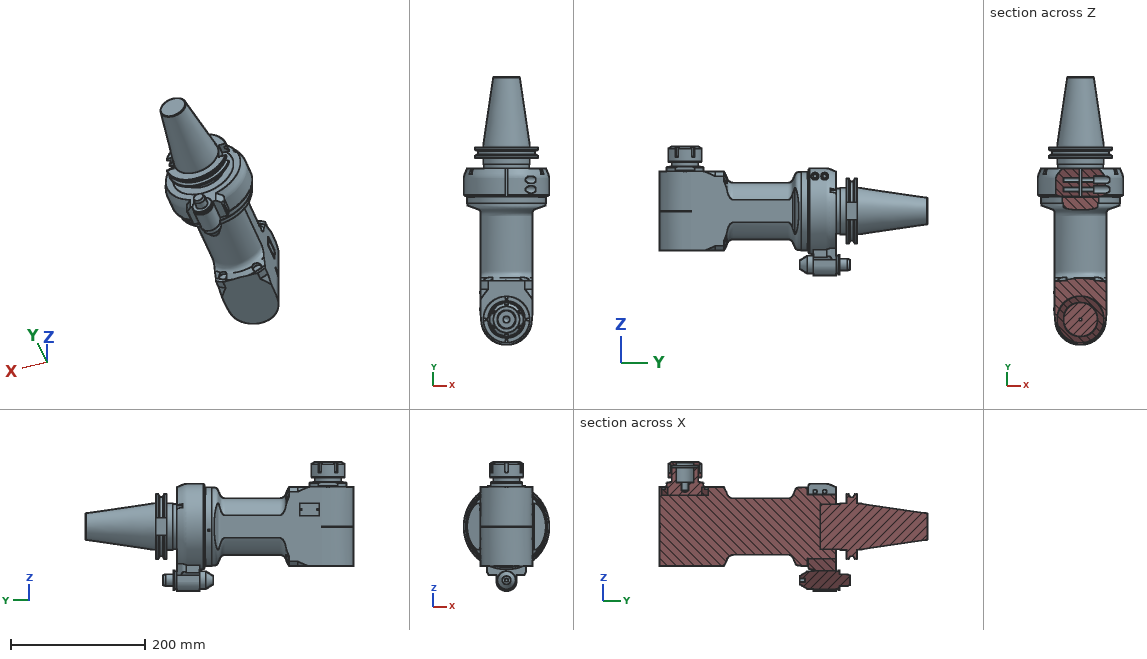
import cadquery as cq
import math


TOTAL_LENGTH = 399.46
HEAD_RADIUS = 38.0
HEAD_HALF_WIDTH = 39.0
HEAD_HALF_HEIGHT = 59.0

TAPER_LARGE_RADIUS = 69.85 / 2
TAPER_LENGTH = 101.75
TAPER_SLOPE = 7 / 24 / 2
TAPER_END_CHAMFER = 1.0
GAUGE_GAP = 3.2
FLANGE_RADIUS = 97.5 / 2
FLANGE_WIDTH = 15.9
FLANGE_CHAMFER = 0.7
GRIP_FLOOR_RADIUS = 44.5
GRIP_FLOOR_WIDTH = 4.0
GRIP_SLOPE = math.tan(math.radians(30))
KEYWAY_WIDTH = 25.7
KEYWAY_FLOOR = 35.5
NECK_RADIUS = 35.0
NECK_LENGTH = 9.5
STUB_RADIUS = 34.0
STUB_ENGAGEMENT = 24.0

SHANK_REAR = TOTAL_LENGTH - HEAD_RADIUS
GAUGE = SHANK_REAR - TAPER_LENGTH
FLANGE_REAR = GAUGE - GAUGE_GAP
FLANGE_FRONT = FLANGE_REAR - FLANGE_WIDTH
NECK_FRONT = FLANGE_FRONT - NECK_LENGTH

RING_RADIUS = 64.0
RING_LENGTH = 41.6
RING_GAP = 6.0
RING_REAR = NECK_FRONT - RING_GAP
RING_FRONT = RING_REAR - RING_LENGTH
RING_BORE_RADIUS = 48.0
RING_REAR_RADIUS = 59.0
RING_CONE_LENGTH = 8.4
RING_CONE_RADIUS = 62.5
RING_ROUND_LENGTH = 6.0
RING_CHAMFER = 3.0
RING_CHAMFER_LENGTH = 2.2
SLIT_WIDTH = 3.2
SCREW_OFFSETS = (16.9, 31.3)
SCREW_HEIGHT = 52.0
SCREW_HEAD_DIAMETER = 11.0
SCREW_HEAD_SEAT = 20.0
SCREW_DIAMETER = 6.0
SCREW_END = -25.0
NOTCH_WIDTH = 6.0
NOTCH_FLOOR_RADIUS = 57.0
NOTCH_ANGLES = (30, 150)

PIN_HEIGHT = -79.9
BRACKET_LENGTH = 33.8
BRACKET_HALF_WIDTH = 28.5
BRACKET_CREST_HALF_WIDTH = 27.6
BRACKET_REAR_HALF_WIDTH = 20.0
BRACKET_SLOPE_LENGTH = 7.0
BRACKET_ROUND_LENGTH = 7.0
BRACKET_TOP = -52.0
BRACKET_BOTTOM = -72.4
BRACKET_CORNER_WIDTH = 1.8
BRACKET_CORNER_HEIGHT = 3.5
EYE_RADIUS = 15.2
EYE_HALF_WIDTH = 15.1
EYE_HEIGHT = PIN_HEIGHT - 1.15

PIN_RADIUS = 13.5
PIN_REAR_RADIUS = 9.0
PIN_COLLAR_RADIUS = 15.0
PIN_COLLAR_WIDTH = 2.4
PIN_COLLAR_GAP = 3.0
PIN_REAR_LENGTH = 15.7
PIN_REAR_CHAMFER = 1.5
PIN_REAR_CHAMFER_LENGTH = 4.2
PIN_FRONT_LENGTH = 9.1
PIN_CONE_LENGTH = 7.8
PIN_CONE_END_RADIUS = 8.5
PIN_TIP_LENGTH = 3.6
PIN_TIP_RADIUS = 6.3
PIN_HOLE_DIAMETER = 5.3
PIN_HOLE_DEPTH = 8.0

COLLAR_RADIUS = 59.0
COLLAR_SMALL_RADIUS = 58.4
COLLAR_GAP = 0.9
COLLAR_REAR = RING_FRONT - COLLAR_GAP
COLLAR_STEP = RING_FRONT - 10.1
COLLAR_FRONT = RING_FRONT - 13.9
BODY_RADIUS = 42.5
BODY_REAR = 154.4
BODY_FRONT = 71.9
SHOULDER = (55.0, 164.2)
CONE_FOOT = (47.0, 160.6)
RELIEF_OUTER = (58.5, 169.8)
RELIEF_INNER = (41.5, 163.8)
RELIEF_ROUND_END = 160.4
HEAD_CONE_FOOT = (51.0, 62.4)
HEAD_CORNER_RADIUS = 65.0
HEAD_CONE_TOP = (60.0, 57.6)
HEAD_CORNER_FRONT = 45.2
HEAD_CORNER_SLOPE = 0.36
HEAD_FLAT_FRONT = 9.3
PARTING_WIDTH = 1.5
PARTING_DEPTH = 0.6
SPOTFACE_DIAMETER = 13.5
SPOTFACE_X = 27.0
SPOTFACE_Z = 48.5
SPOTFACE_FLOOR = 57.8
SET_HOLE_DIAMETER = 3.2
SET_HOLE_DEPTH = 6.0
SET_HOLE_Y = 177.5
SET_HOLE_Z = -5.4

PLATE_LENGTH = 29.5
PLATE_HEIGHT = 18.3
PLATE_THICKNESS = 0.8
PLATE_Y = 27.7
PLATE_Z = 25.4
RIVET_SPACING = 25.0
RIVET_DIAMETER = 2.5
RIVET_HEIGHT = 0.9

CAP_RADIUS = 34.5
CAP_DEPTH = 12.0
CAP_BORE_RADIUS = 25.0
CAP_SLOT_WIDTH = 3.2
CAP_SLOT_LENGTH = 4.8
CAP_SLOT_DEPTH = 3.0
CAP_SLOT_COUNT = 4

SPINDLE_COLLAR_RADIUS = 27.7
SPINDLE_COLLAR_TOP = 66.0
SPINDLE_COLLAR_CHAMFER = 1.5
FLAT_DISTANCE = 23.6
FLAT_BOTTOM = 60.8
NOSE_FOOT_RADIUS = 21.8
NOSE_FOOT_HEIGHT = 1.0
NOSE_RADIUS = 20.0
NOSE_TOP = 88.0
SPINDLE_BORE_RADIUS = 13.0
SPINDLE_BORE_FLOOR = 66.0
DRAW_HOLE_DIAMETER = 10.0
DRAW_HOLE_DEPTH = 12.0
DRAW_HOLE_CONE = 3.0

NUT_RADIUS = 25.2
NUT_BOTTOM = 72.8
NUT_TOP = 96.5
NUT_EDGE_HEIGHT = 93.2
NUT_TOP_RADIUS = 19.5
NUT_CHAMFER = 1.2
NUT_LIP_BOTTOM = 91.0
NUT_MOUTH_RADIUS = 14.0
NUT_MOUTH_CHAMFER = 1.0
NUT_SLOT_COUNT = 6
NUT_SLOT_WIDTH = 5.3
NUT_SLOT_FLOOR_RADIUS = 22.0
NUT_SLOT_BOTTOM = 80.2


def revolve_y(profile):
    """Revolve a closed profile drawn as (radius, Y) about the Y axis."""
    return profile.close().revolve(360, (0, 0, 0), (0, 1, 0))


def revolve_z(points):
    """Revolve a closed (radius, Z) outline about the Z axis."""
    return cq.Workplane("XZ").polyline(points).close().revolve(360, (0, 0, 0), (0, 1, 0))


def box_between(x, y, z):
    """Box spanning the (low, high) limits on each axis."""
    size = [high - low for low, high in (x, y, z)]
    return cq.Workplane("XY").box(*size, centered=False).translate((x[0], y[0], z[0]))


def rod_x(diameter, x, y, z):
    """Cylinder along X between the two X limits."""
    plane = cq.Workplane("YZ", origin=(x[0], y, z))
    return plane.circle(diameter / 2).extrude(x[1] - x[0])


def make_shank():
    taper_end = TAPER_LARGE_RADIUS - TAPER_LENGTH * TAPER_SLOPE
    grip_drop = (FLANGE_RADIUS - GRIP_FLOOR_RADIUS) * GRIP_SLOPE
    middle = (FLANGE_REAR + FLANGE_FRONT) / 2
    half_floor = GRIP_FLOOR_WIDTH / 2
    half_mouth = half_floor + grip_drop
    rim = FLANGE_RADIUS - FLANGE_CHAMFER
    stub_end = RING_REAR - STUB_ENGAGEMENT
    shank = revolve_y(cq.Workplane("XY").polyline([
        (0, SHANK_REAR),
        (taper_end - TAPER_END_CHAMFER, SHANK_REAR),
        (taper_end, SHANK_REAR - TAPER_END_CHAMFER),
        (TAPER_LARGE_RADIUS, GAUGE),
        (TAPER_LARGE_RADIUS, FLANGE_REAR),
        (rim, FLANGE_REAR),
        (FLANGE_RADIUS, FLANGE_REAR - FLANGE_CHAMFER),
        (FLANGE_RADIUS, middle + half_mouth),
        (GRIP_FLOOR_RADIUS, middle + half_floor),
        (GRIP_FLOOR_RADIUS, middle - half_floor),
        (FLANGE_RADIUS, middle - half_mouth),
        (FLANGE_RADIUS, FLANGE_FRONT + FLANGE_CHAMFER),
        (rim, FLANGE_FRONT),
        (NECK_RADIUS, FLANGE_FRONT),
        (NECK_RADIUS, NECK_FRONT),
        (STUB_RADIUS, NECK_FRONT),
        (STUB_RADIUS, stub_end),
        (0, stub_end),
    ]))
    half_key = KEYWAY_WIDTH / 2
    for x in ((-FLANGE_RADIUS, -KEYWAY_FLOOR), (KEYWAY_FLOOR, FLANGE_RADIUS)):
        shank = shank.cut(box_between(x, (FLANGE_FRONT, FLANGE_REAR), (-half_key, half_key)))
    return shank


def make_bracket():
    front = RING_REAR - BRACKET_LENGTH
    crest_y = RING_REAR - BRACKET_SLOPE_LENGTH
    flat_y = crest_y - BRACKET_ROUND_LENGTH
    plan = (
        cq.Workplane("XY", origin=(0, 0, BRACKET_BOTTOM))
        .moveTo(-BRACKET_REAR_HALF_WIDTH, RING_REAR)
        .lineTo(-BRACKET_CREST_HALF_WIDTH, crest_y)
        .tangentArcPoint((-BRACKET_HALF_WIDTH, flat_y), relative=False)
        .lineTo(-BRACKET_HALF_WIDTH, front)
        .lineTo(0, front)
        .lineTo(0, RING_REAR)
        .close()
        .extrude(BRACKET_TOP - BRACKET_BOTTOM)
    )
    plan = plan.union(plan.mirror("YZ"))
    bottom_x = BRACKET_HALF_WIDTH - BRACKET_CORNER_WIDTH
    outer_x = BRACKET_HALF_WIDTH + BRACKET_CORNER_WIDTH
    outer_z = BRACKET_BOTTOM + 2 * BRACKET_CORNER_HEIGHT
    section = (
        cq.Workplane("XZ", origin=(0, RING_REAR, 0))
        .polyline([
            (-outer_x, BRACKET_TOP),
            (-outer_x, outer_z),
            (-bottom_x, BRACKET_BOTTOM),
            (bottom_x, BRACKET_BOTTOM),
            (outer_x, outer_z),
            (outer_x, BRACKET_TOP),
        ])
        .close()
        .extrude(BRACKET_LENGTH)
    )
    flat_end = EYE_HEIGHT - math.sqrt(EYE_RADIUS ** 2 - EYE_HALF_WIDTH ** 2)
    eye = (
        cq.Workplane("XZ", origin=(0, RING_REAR, 0))
        .moveTo(-EYE_HALF_WIDTH, BRACKET_TOP)
        .lineTo(-EYE_HALF_WIDTH, flat_end)
        .threePointArc((0, EYE_HEIGHT - EYE_RADIUS), (EYE_HALF_WIDTH, flat_end))
        .lineTo(EYE_HALF_WIDTH, BRACKET_TOP)
        .close()
        .extrude(BRACKET_LENGTH)
    )
    return plan.intersect(section).union(eye)


def make_ring(pin):
    cone_end = RING_REAR - RING_CONE_LENGTH
    round_end = cone_end - RING_ROUND_LENGTH
    ring = revolve_y(
        cq.Workplane("XY")
        .moveTo(0, RING_REAR)
        .lineTo(RING_REAR_RADIUS, RING_REAR)
        .lineTo(RING_CONE_RADIUS, cone_end)
        .tangentArcPoint((RING_RADIUS, round_end), relative=False)
        .lineTo(RING_RADIUS, RING_FRONT + RING_CHAMFER_LENGTH)
        .lineTo(RING_RADIUS - RING_CHAMFER, RING_FRONT)
        .lineTo(0, RING_FRONT)
    )
    ring = ring.union(make_bracket())
    bore = cq.Workplane("XZ", origin=(0, RING_REAR, 0)).circle(RING_BORE_RADIUS).extrude(RING_LENGTH)
    ring = ring.cut(bore)
    half_slit = SLIT_WIDTH / 2
    ring = ring.cut(box_between((-half_slit, half_slit), (RING_FRONT, RING_REAR), (0, RING_RADIUS)))
    for offset in SCREW_OFFSETS:
        y = RING_REAR - offset
        ring = ring.cut(rod_x(SCREW_HEAD_DIAMETER, (SCREW_HEAD_SEAT, RING_RADIUS), y, SCREW_HEIGHT))
        ring = ring.cut(rod_x(SCREW_DIAMETER, (SCREW_END, SCREW_HEAD_SEAT), y, SCREW_HEIGHT))
    half_notch = NOTCH_WIDTH / 2
    notch = box_between((NOTCH_FLOOR_RADIUS, RING_RADIUS), (cone_end, RING_REAR), (-half_notch, half_notch))
    for angle in NOTCH_ANGLES:
        ring = ring.cut(notch.rotate((0, 0, 0), (0, 1, 0), -angle))
    return ring.cut(pin)


def make_pin():
    collar_front = RING_REAR + PIN_COLLAR_GAP
    collar_rear = collar_front + PIN_COLLAR_WIDTH
    rear = collar_rear + PIN_REAR_LENGTH
    cone_start = RING_REAR - BRACKET_LENGTH - PIN_FRONT_LENGTH
    cone_end = cone_start - PIN_CONE_LENGTH
    tip = cone_end - PIN_TIP_LENGTH
    hole_radius = PIN_HOLE_DIAMETER / 2
    hole_floor = tip + PIN_HOLE_DEPTH
    pin = revolve_y(cq.Workplane("XY").polyline([
        (0, rear),
        (PIN_REAR_RADIUS - PIN_REAR_CHAMFER, rear),
        (PIN_REAR_RADIUS, rear - PIN_REAR_CHAMFER_LENGTH),
        (PIN_REAR_RADIUS, collar_rear),
        (PIN_COLLAR_RADIUS, collar_rear),
        (PIN_COLLAR_RADIUS, collar_front),
        (PIN_RADIUS, collar_front),
        (PIN_RADIUS, cone_start),
        (PIN_CONE_END_RADIUS, cone_end),
        (PIN_TIP_RADIUS, tip),
        (hole_radius, tip),
        (hole_radius, hole_floor),
        (0, hole_floor),
    ]))
    return pin.translate((0, 0, PIN_HEIGHT))


def housing_revolve():
    """Spigot, collar, round neck and coned head, before the flat sides are cut."""
    front_radius = HEAD_CORNER_RADIUS + HEAD_CORNER_SLOPE * (HEAD_CORNER_FRONT + HEAD_RADIUS)
    return revolve_y(
        cq.Workplane("XY")
        .moveTo(0, RING_REAR)
        .lineTo(RING_BORE_RADIUS, RING_REAR)
        .lineTo(RING_BORE_RADIUS, COLLAR_REAR)
        .lineTo(COLLAR_RADIUS, COLLAR_REAR)
        .lineTo(COLLAR_RADIUS, COLLAR_STEP)
        .lineTo(COLLAR_SMALL_RADIUS, COLLAR_STEP)
        .lineTo(COLLAR_SMALL_RADIUS, COLLAR_FRONT)
        .tangentArcPoint(SHOULDER, relative=False)
        .lineTo(*CONE_FOOT)
        .tangentArcPoint((BODY_RADIUS, BODY_REAR), relative=False)
        .lineTo(BODY_RADIUS, BODY_FRONT)
        .tangentArcPoint(HEAD_CONE_FOOT, relative=False)
        .lineTo(*HEAD_CONE_TOP)
        .lineTo(HEAD_CORNER_RADIUS, HEAD_CONE_TOP[1])
        .lineTo(HEAD_CORNER_RADIUS, HEAD_CORNER_FRONT)
        .lineTo(front_radius, -HEAD_RADIUS)
        .lineTo(0, -HEAD_RADIUS)
    )


def draw_in_angle():
    """Angle of the head sides, tangent to the rounded front and meeting the flats at HEAD_FLAT_FRONT."""
    reach = math.hypot(HEAD_HALF_WIDTH, HEAD_FLAT_FRONT)
    return math.atan2(HEAD_FLAT_FRONT, HEAD_HALF_WIDTH) - math.acos(HEAD_RADIUS / reach)


def head_plan(inset=0.0):
    """Plan outline of the whole housing, moved inward by the inset at the head."""
    angle = draw_in_angle()
    radius = HEAD_RADIUS - inset
    tangent_x = radius * math.cos(angle)
    tangent_y = radius * math.sin(angle)
    flat_x = HEAD_HALF_WIDTH - inset
    return (
        cq.Workplane("XY", origin=(0, 0, -RING_RADIUS))
        .moveTo(-RING_RADIUS, RING_REAR)
        .lineTo(-RING_RADIUS, RELIEF_OUTER[1])
        .lineTo(-RELIEF_OUTER[0], RELIEF_OUTER[1])
        .lineTo(-RELIEF_INNER[0], RELIEF_INNER[1])
        .tangentArcPoint((-flat_x, RELIEF_ROUND_END), relative=False)
        .lineTo(-flat_x, HEAD_FLAT_FRONT)
        .lineTo(-tangent_x, tangent_y)
        .threePointArc((0, -radius), (tangent_x, tangent_y))
        .lineTo(flat_x, HEAD_FLAT_FRONT)
        .lineTo(flat_x, RELIEF_ROUND_END)
        .lineTo(RELIEF_INNER[0], RELIEF_INNER[1])
        .lineTo(RELIEF_OUTER[0], RELIEF_OUTER[1])
        .lineTo(RING_RADIUS, RELIEF_OUTER[1])
        .lineTo(RING_RADIUS, RING_REAR)
        .close()
        .extrude(2 * RING_RADIUS)
    )


def make_parting_groove():
    half = PARTING_WIDTH / 2
    slab = box_between((-RING_RADIUS, RING_RADIUS), (-2 * HEAD_RADIUS, HEAD_FLAT_FRONT), (-half, half))
    return slab.cut(head_plan(PARTING_DEPTH))


def make_housing(shank, cap, plate):
    housing = housing_revolve().intersect(head_plan())
    heights = (-HEAD_HALF_HEIGHT, HEAD_HALF_HEIGHT)
    wide = (-RING_RADIUS, RING_RADIUS)
    rear_part = box_between(wide, (BODY_FRONT, RING_REAR), wide)
    head_part = box_between(wide, (-HEAD_RADIUS, BODY_FRONT), heights)
    housing = housing.intersect(rear_part.union(head_part))
    housing = housing.cut(make_parting_groove())
    set_hole_reach = (-COLLAR_RADIUS, SET_HOLE_DEPTH - COLLAR_RADIUS)
    housing = housing.cut(rod_x(SET_HOLE_DIAMETER, set_hole_reach, SET_HOLE_Y, SET_HOLE_Z))
    spotfaces = (
        cq.Workplane("XZ", origin=(0, SPOTFACE_FLOOR, 0))
        .rect(2 * SPOTFACE_X, 2 * SPOTFACE_Z, forConstruction=True)
        .vertices()
        .circle(SPOTFACE_DIAMETER / 2)
        .extrude(SPOTFACE_FLOOR - BODY_FRONT)
    )
    housing = housing.cut(spotfaces)
    cap_seat = cq.Workplane("XY", origin=(0, 0, HEAD_HALF_HEIGHT)).circle(CAP_RADIUS).extrude(-CAP_DEPTH)
    return housing.cut(cap_seat).cut(shank).cut(plate)


def make_plate():
    outer_x = -HEAD_HALF_WIDTH
    inner_x = outer_x + PLATE_THICKNESS
    y = (PLATE_Y - PLATE_LENGTH / 2, PLATE_Y + PLATE_LENGTH / 2)
    z = (PLATE_Z - PLATE_HEIGHT / 2, PLATE_Z + PLATE_HEIGHT / 2)
    plate = box_between((outer_x, inner_x), y, z)
    for side in (-1, 1):
        rivet_y = PLATE_Y + side * RIVET_SPACING / 2
        plate = plate.union(rod_x(RIVET_DIAMETER, (outer_x - RIVET_HEIGHT, inner_x), rivet_y, PLATE_Z))
    return plate


def make_cap():
    cap = (
        cq.Workplane("XY", origin=(0, 0, HEAD_HALF_HEIGHT))
        .circle(CAP_RADIUS)
        .circle(CAP_BORE_RADIUS)
        .extrude(-CAP_DEPTH)
    )
    slots = (
        cq.Workplane("XY", origin=(0, 0, HEAD_HALF_HEIGHT))
        .polarArray(CAP_RADIUS, 0, 360, CAP_SLOT_COUNT)
        .slot2D(2 * CAP_SLOT_LENGTH, CAP_SLOT_WIDTH)
        .extrude(-CAP_SLOT_DEPTH)
    )
    return cap.cut(slots)


def make_spindle():
    seat = HEAD_HALF_HEIGHT - CAP_DEPTH
    chamfer_radius = SPINDLE_COLLAR_RADIUS - SPINDLE_COLLAR_CHAMFER
    foot_top = SPINDLE_COLLAR_TOP + NOSE_FOOT_HEIGHT
    draw_radius = DRAW_HOLE_DIAMETER / 2
    draw_floor = SPINDLE_BORE_FLOOR - DRAW_HOLE_DEPTH
    spindle = revolve_z([
        (0, seat),
        (CAP_BORE_RADIUS, seat),
        (CAP_BORE_RADIUS, HEAD_HALF_HEIGHT),
        (SPINDLE_COLLAR_RADIUS, HEAD_HALF_HEIGHT),
        (SPINDLE_COLLAR_RADIUS, SPINDLE_COLLAR_TOP - SPINDLE_COLLAR_CHAMFER),
        (chamfer_radius, SPINDLE_COLLAR_TOP),
        (NOSE_FOOT_RADIUS, SPINDLE_COLLAR_TOP),
        (NOSE_FOOT_RADIUS, foot_top),
        (NOSE_RADIUS, foot_top),
        (NOSE_RADIUS, NOSE_TOP),
        (SPINDLE_BORE_RADIUS, NOSE_TOP),
        (SPINDLE_BORE_RADIUS, SPINDLE_BORE_FLOOR),
        (draw_radius, SPINDLE_BORE_FLOOR),
        (draw_radius, draw_floor),
        (0, draw_floor - DRAW_HOLE_CONE),
    ])
    reach = (-SPINDLE_COLLAR_RADIUS, SPINDLE_COLLAR_RADIUS)
    flat_heights = (FLAT_BOTTOM, SPINDLE_COLLAR_TOP)
    for x in ((-SPINDLE_COLLAR_RADIUS, -FLAT_DISTANCE), (FLAT_DISTANCE, SPINDLE_COLLAR_RADIUS)):
        spindle = spindle.cut(box_between(x, reach, flat_heights))
    return spindle


def make_nut():
    throat = NUT_MOUTH_RADIUS - NUT_MOUTH_CHAMFER
    nut = revolve_z([
        (NOSE_RADIUS, NUT_BOTTOM),
        (NUT_RADIUS - NUT_CHAMFER, NUT_BOTTOM),
        (NUT_RADIUS, NUT_BOTTOM + NUT_CHAMFER),
        (NUT_RADIUS, NUT_EDGE_HEIGHT),
        (NUT_TOP_RADIUS, NUT_TOP),
        (NUT_MOUTH_RADIUS, NUT_TOP),
        (throat, NUT_TOP - NUT_MOUTH_CHAMFER),
        (throat, NUT_LIP_BOTTOM),
        (NOSE_RADIUS, NUT_LIP_BOTTOM),
    ])
    half_slot = NUT_SLOT_WIDTH / 2
    slot = (
        cq.Workplane("XZ", origin=(0, -NUT_SLOT_FLOOR_RADIUS, 0))
        .moveTo(-half_slot, NUT_TOP)
        .lineTo(-half_slot, NUT_SLOT_BOTTOM + half_slot)
        .threePointArc((0, NUT_SLOT_BOTTOM), (half_slot, NUT_SLOT_BOTTOM + half_slot))
        .lineTo(half_slot, NUT_TOP)
        .close()
        .extrude(NUT_RADIUS - NUT_SLOT_FLOOR_RADIUS)
    )
    for index in range(NUT_SLOT_COUNT):
        nut = nut.cut(slot.rotate((0, 0, 0), (0, 0, 1), index * 360 / NUT_SLOT_COUNT))
    return nut


shank = make_shank()
pin = make_pin()
ring = make_ring(pin)
cap = make_cap()
plate = make_plate()
housing = make_housing(shank, cap, plate)
spindle = make_spindle()
nut = make_nut()

bodies = [shank, ring, pin, housing, plate, cap, spindle, nut]
result = cq.Compound.makeCompound([body.val() for body in bodies])